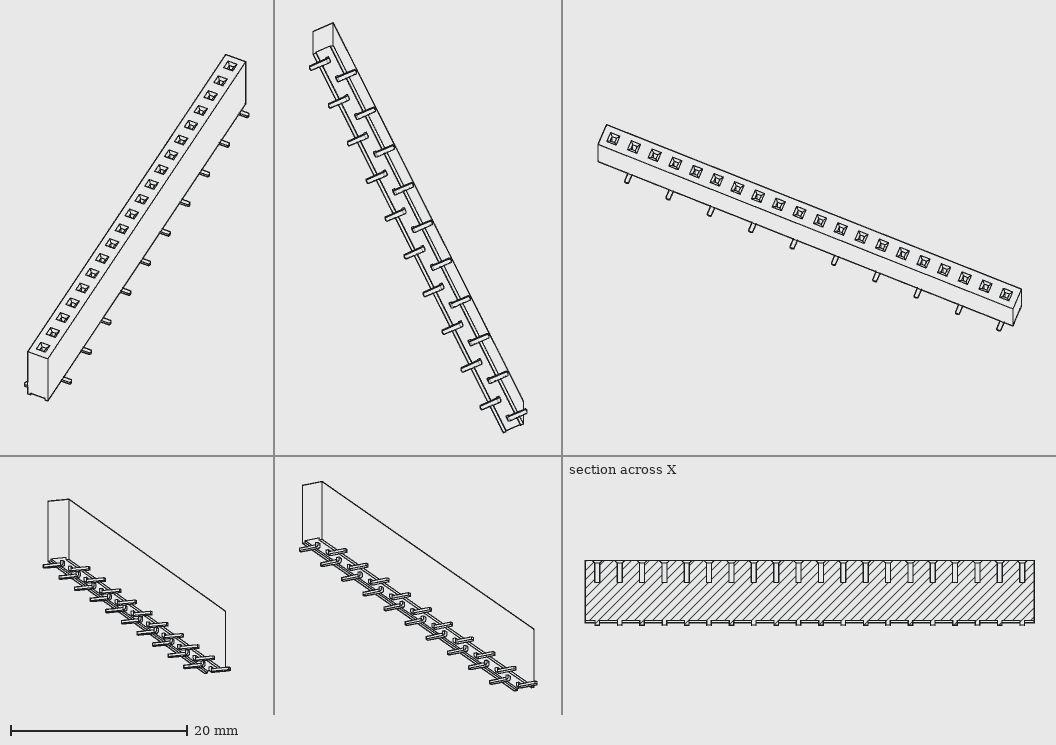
import cadquery as cq

pin_count = 20
pitch = 2.54
body_width = 2.54
body_length = 51.0
total_height = 7.4

tail_span = 4.64
contact_thickness = 0.3
tail_root_width = 0.54
tail_tip_width = 0.48
tip_bulge = 0.07
bend_radius = 0.28
stem_rise = 0.5

groove_width = 1.8
groove_depth = 0.25

socket_size = 0.54
lead_in_depth = 0.3
socket_depth = 3.0

body_bottom = contact_thickness
body_height = total_height - body_bottom
socket_mouth = socket_size + 2 * lead_in_depth
socket_floor = total_height - socket_depth
stem_top = socket_floor + stem_rise
half_stem = contact_thickness / 2
first_pin_y = -pitch * (pin_count - 1) / 2


def make_housing():
    """Plain block with a groove running the full length of its underside."""
    base = cq.Workplane("XY", origin=(0, 0, body_bottom))
    block = base.rect(body_width, body_length).extrude(body_height)
    groove = base.rect(groove_width, body_length).extrude(groove_depth)
    return block.cut(groove)


def make_socket(y):
    """Square blind hole and its funnel mouth, opening on the top face."""
    top = cq.Workplane("XY", origin=(0, y, total_height))
    hole = top.rect(socket_size, socket_size).extrude(-socket_depth)
    lead_in = (
        top.rect(socket_mouth, socket_mouth)
        .workplane(offset=-lead_in_depth)
        .rect(socket_size, socket_size)
        .loft()
    )
    return hole.union(lead_in)


def make_contact(y, side):
    """L-shaped contact: an upright stem and a tapered, round-ended tail toward side (+1 or -1)."""
    tip_x = tail_span / 2
    shoulder_x = tip_x - tip_bulge
    tail = (
        cq.Workplane("XY")
        .moveTo(-half_stem, -tail_root_width / 2)
        .lineTo(shoulder_x, -tail_tip_width / 2)
        .threePointArc((tip_x, 0), (shoulder_x, tail_tip_width / 2))
        .lineTo(-half_stem, tail_root_width / 2)
        .close()
        .extrude(contact_thickness)
    )
    stem = cq.Workplane("XY").rect(contact_thickness, tail_root_width).extrude(stem_top)
    contact = tail.union(stem).edges("|Y and <X and <Z").fillet(bend_radius)
    if side < 0:
        contact = contact.mirror("YZ")
    return contact.translate((0, y, 0))


result = make_housing()
for index in range(pin_count):
    y = first_pin_y + index * pitch
    side = -1 if index % 2 == 0 else 1
    result = result.cut(make_socket(y)).union(make_contact(y, side))